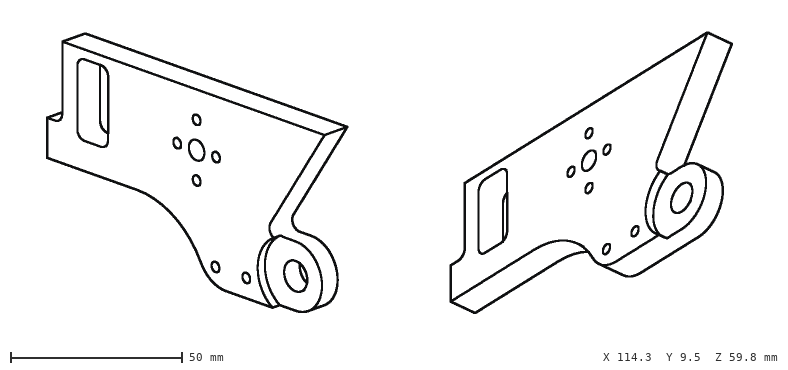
import cadquery as cq
import math

length = 114.3
height = 59.8
thickness = 9.5
inner_corner_radius = 3.0

tab_length = 6.3
tab_bottom = 21.7
tab_top = 34.3

lug_x = 99.4
lug_radius = tab_bottom / 2
lug_hole_diameter = 9.5
lug_recess_radius = 12.7
lug_recess_depth = 3.0

slope_foot_x = 89.0

arc_start_x = 37.0
upper_arc_radius = 30.0
lower_arc_radius = 12.0
arc_radius_sum = upper_arc_radius + lower_arc_radius
arc_angle = math.acos(1 - tab_bottom / arc_radius_sum)
arc_end_x = arc_start_x + arc_radius_sum * math.sin(arc_angle)

window_left = 12.5
window_width = 12.7
window_bottom = 31.2
window_height = 25.5

center_hole_x = 61.6
center_hole_z = 40.8
center_hole_diameter = 6.4
small_hole_diameter = 3.2
small_hole_offset_x = 8.0
small_hole_offset_z = 9.5
lower_holes_x = (69.4, 82.1)
lower_holes_z = 6.4


def upper_arc_point(angle):
    """Point on the upper arc after turning down by the given angle from the tab."""
    return (
        arc_start_x + upper_arc_radius * math.sin(angle),
        tab_bottom - upper_arc_radius * (1 - math.cos(angle)),
    )


def lower_arc_point(angle):
    """Point on the lower arc where it is inclined at the given angle to the base."""
    return (
        arc_end_x - lower_arc_radius * math.sin(angle),
        lower_arc_radius * (1 - math.cos(angle)),
    )


def round_inner_corner(body, x, z):
    """Round the through-thickness edge at the given outline corner."""
    edge = body.edges("|Y").edges(cq.selectors.NearestToPointSelector((x, thickness / 2, z)))
    return edge.fillet(inner_corner_radius)


def through_holes(centers, diameter):
    """Cylinders running from the front face to the back face."""
    return cq.Workplane("XZ").pushPoints(centers).circle(diameter / 2).extrude(-thickness)


def make_plate():
    plate = (
        cq.Workplane("XZ")
        .moveTo(0, tab_bottom)
        .lineTo(arc_start_x, tab_bottom)
        .threePointArc(upper_arc_point(arc_angle / 2), upper_arc_point(arc_angle))
        .threePointArc(lower_arc_point(arc_angle / 2), (arc_end_x, 0))
        .lineTo(lug_x, 0)
        .threePointArc((lug_x + lug_radius, lug_radius), (lug_x, 2 * lug_radius))
        .lineTo(slope_foot_x, tab_bottom)
        .lineTo(length, height)
        .lineTo(tab_length, height)
        .lineTo(tab_length, tab_top)
        .lineTo(0, tab_top)
        .close()
        .extrude(-thickness)
    )
    plate = round_inner_corner(plate, slope_foot_x, tab_bottom)
    return round_inner_corner(plate, tab_length, tab_top)


def make_window():
    return (
        cq.Workplane("XZ")
        .center(window_left + window_width / 2, window_bottom + window_height / 2)
        .rect(window_width, window_height)
        .extrude(-thickness)
        .edges("|Y")
        .fillet(inner_corner_radius)
    )


def make_lug_recess():
    """Disc that thins the lug from the front face."""
    disc = cq.Workplane("XZ").center(lug_x, lug_radius).circle(lug_recess_radius)
    return disc.extrude(-lug_recess_depth)


small_holes = [
    (center_hole_x - small_hole_offset_x, center_hole_z),
    (center_hole_x + small_hole_offset_x, center_hole_z),
    (center_hole_x, center_hole_z - small_hole_offset_z),
    (center_hole_x, center_hole_z + small_hole_offset_z),
]
small_holes += [(x, lower_holes_z) for x in lower_holes_x]

result = (
    make_plate()
    .cut(make_window())
    .cut(make_lug_recess())
    .cut(through_holes([(lug_x, lug_radius)], lug_hole_diameter))
    .cut(through_holes([(center_hole_x, center_hole_z)], center_hole_diameter))
    .cut(through_holes(small_holes, small_hole_diameter))
)